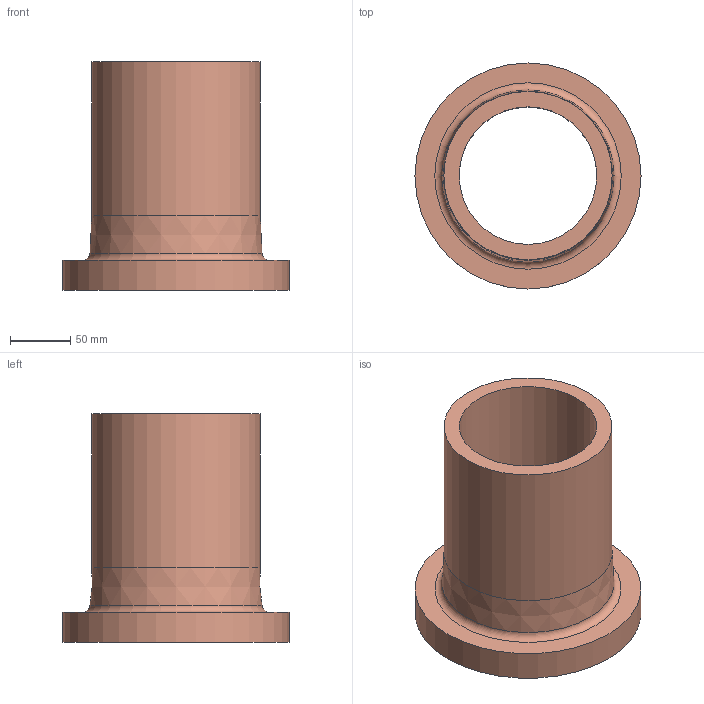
import math

import cadquery as cq

flange_diameter = 188.0
flange_thickness = 25.0
pipe_diameter = 140.0
wall_thickness = 12.8
total_height = 190.0

neck_top_height = 62.0
neck_foot_diameter = 143.6
neck_fillet_radius = 6.0

flange_radius = flange_diameter / 2
pipe_radius = pipe_diameter / 2
bore_radius = pipe_radius - wall_thickness
neck_foot_radius = neck_foot_diameter / 2

taper_angle = math.atan2(neck_foot_radius - pipe_radius, neck_top_height - flange_thickness)
tangent_length = neck_fillet_radius * math.tan((math.pi / 2 - taper_angle) / 2)
fillet_on_flange = (neck_foot_radius + tangent_length, flange_thickness)
fillet_on_neck = (
    neck_foot_radius - tangent_length * math.sin(taper_angle),
    flange_thickness + tangent_length * math.cos(taper_angle),
)


def make_stub_end():
    """Revolve the half section, given as (radius, height), about the Z axis."""
    section = (
        cq.Workplane("XZ")
        .moveTo(bore_radius, 0)
        .lineTo(flange_radius, 0)
        .lineTo(flange_radius, flange_thickness)
        .lineTo(*fillet_on_flange)
        .tangentArcPoint(fillet_on_neck, relative=False)
        .lineTo(pipe_radius, neck_top_height)
        .lineTo(pipe_radius, total_height)
        .lineTo(bore_radius, total_height)
        .close()
    )
    return section.revolve(360, (0, 0, 0), (0, 1, 0))


result = make_stub_end()